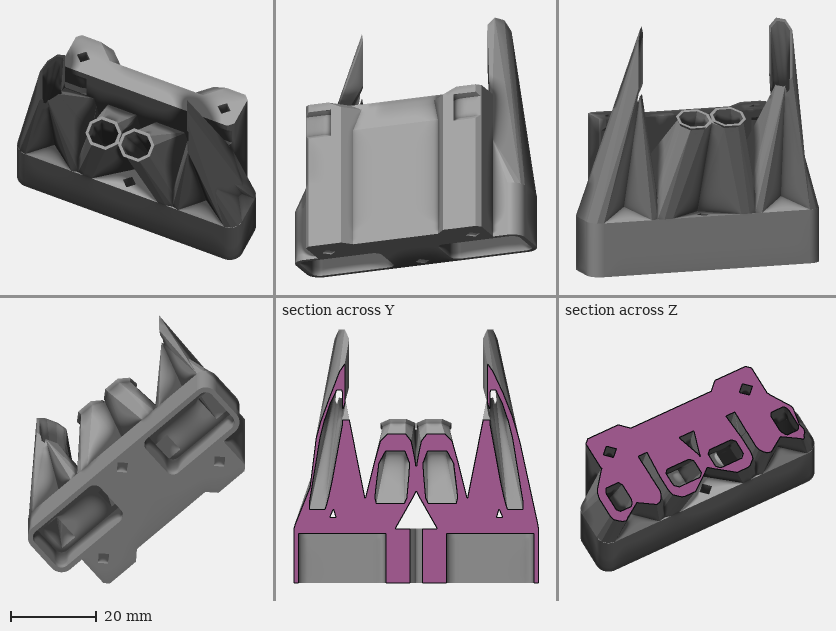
import cadquery as cq
import math


base_width = 57.2
base_front = -12.25
base_back = 1.2
base_height = 12.8
corner_radius = 3.15
base_wall = 1.2
centre_web = 14.2
base_roof = 1.2

plate_width = 43.9
plate_depth = 9.9
plate_height = 34.85
plate_front_chamfer = 1.3
plate_back_chamfer = 1.05

screw_diagonal = 3.3
screw_x = 18.0
plate_screw_y = 4.25
base_screw_y = -9.6

recess_top_y = 5.75
recess_y = 7.7
recess_top_half_width = 11.9
recess_half_width = 8.65
recess_flare = 1.5
recess_lean = 6.8

tie_bottom = 26.55
tie_top = 33.0
tie_groove_depth = 0.9
tie_ring_x = 17.45
tie_ring_radius = 5.4

outer_nozzle_back = (-15.55, -11.55)
outer_nozzle_front = (-19.0, -18.15)
outer_nozzle_bottom = 43.5
outer_nozzle_top = 59.15
outer_nozzle_cut = 2.25

inner_nozzle_left = -8.2
inner_nozzle_right = -0.1
inner_nozzle_back = (-11.8, 38.3)
inner_nozzle_front = (-18.15, 35.15)
inner_nozzle_cut = 2.15

nozzle_wall = 0.7
lip_overhang = 0.5
lip_height = 0.9
mouth_overrun = 0.3

outer_passage_x = (-26.05, -21.9)
outer_passage_y = (-7.7, -1.2)
inner_passage_x = (-10.65, -2.95)
inner_passage_y = (-5.9, -1.2)

duct_overlap_x = -12.05
duct_overlap = 3.15
notch_x = -8.45
notch_y = -5.45
shoulder_z = 24.85
outer_shoulder = (-21.3, -13.0)
inner_shoulder = (-10.05, -2.55)
valley_top = (-11.9, -3.5, 20.35)
inner_duct_joint = (0.0, -15.7, 35.7)
right_tower_foot = (-27.15, -1.7, 13.9)

outer_x = -base_width / 2
outer_duct_end = duct_overlap_x + duct_overlap / 2
inner_duct_end = duct_overlap_x - duct_overlap / 2
facet_angle = 30
tolerance = 5.92e-06


def subtract(a, b):
    return tuple(p - q for p, q in zip(a, b))


def cross(a, b):
    return (a[1] * b[2] - a[2] * b[1], a[2] * b[0] - a[0] * b[2], a[0] * b[1] - a[1] * b[0])


def dot(a, b):
    return sum(p * q for p, q in zip(a, b))


def hull_face(corners, normal):
    """Flat face through the outermost of some coplanar points."""
    centre = tuple(sum(values) / len(corners) for values in zip(*corners))
    axis_u = subtract(corners[0], centre)
    axis_v = cross(normal, axis_u)
    flat = sorted((dot(p, axis_u), dot(p, axis_v), p) for p in corners)

    def chain(entries):
        kept = []
        for entry in entries:
            while len(kept) > 1:
                a, b = kept[-2], kept[-1]
                turn = (b[0] - a[0]) * (entry[1] - a[1]) - (b[1] - a[1]) * (entry[0] - a[0])
                if turn > tolerance:
                    break
                kept.pop()
            kept.append(entry)
        return kept[:-1]

    ring = [entry[2] for entry in chain(flat) + chain(flat[::-1])]
    return cq.Face.makeFromWires(cq.Wire.makePolygon([cq.Vector(*p) for p in ring], close=True))


def hull(points):
    """Solid convex hull: every plane through three points with no point outside it carries a face."""
    points = sorted(set(points))
    count = len(points)
    faces = {}
    for i in range(count):
        for j in range(i + 1, count):
            edge = subtract(points[j], points[i])
            for k in range(j + 1, count):
                normal = cross(edge, subtract(points[k], points[i]))
                length = math.sqrt(dot(normal, normal))
                if length < tolerance:
                    continue
                normal = tuple(value / length for value in normal)
                heights = [dot(subtract(p, points[i]), normal) for p in points]
                if max(heights) > tolerance and min(heights) < -tolerance:
                    continue
                on_plane = tuple(n for n, h in enumerate(heights) if abs(h) <= tolerance)
                faces[on_plane] = normal
    shell = cq.Shell.makeShell([hull_face([points[n] for n in f], faces[f]) for f in faces])
    return cq.Workplane(obj=cq.Solid.makeSolid(shell))


def corner(x, y, side_x, side_y, z=base_height):
    """Faceted quarter round inside the corner (x, y); side_x and side_y point outwards."""
    angles = [math.radians(step * facet_angle) for step in range(90 // facet_angle + 1)]
    centre_x = x - side_x * corner_radius
    centre_y = y - side_y * corner_radius
    return [
        (centre_x + side_x * corner_radius * math.cos(a), centre_y + side_y * corner_radius * math.sin(a), z)
        for a in angles
    ]


def octagon(width, height, cut, inset):
    """Rectangle from (0, 0) with cut corners, moved inwards by inset."""
    cut = cut - inset * (2 - math.sqrt(2))
    low, right, top = inset, width - inset, height - inset
    return [
        (low + cut, low), (right - cut, low), (right, low + cut), (right, top - cut),
        (right - cut, top), (low + cut, top), (low, top - cut), (low, low + cut),
    ]


def outer_nozzle(inset=0.0, push=0.0):
    """Outline of the left outer mouth; push moves it out of the nozzle along its facing direction."""
    run_x = outer_nozzle_front[0] - outer_nozzle_back[0]
    run_y = outer_nozzle_front[1] - outer_nozzle_back[1]
    width = math.hypot(run_x, run_y)
    dir_x, dir_y = run_x / width, run_y / width
    outline = octagon(width, outer_nozzle_top - outer_nozzle_bottom, outer_nozzle_cut, inset)
    return [
        (
            outer_nozzle_back[0] + u * dir_x - push * dir_y,
            outer_nozzle_back[1] + u * dir_y + push * dir_x,
            outer_nozzle_bottom + v,
        )
        for u, v in outline
    ]


def inner_nozzle(inset=0.0, push=0.0):
    """Outline of the left inner mouth; push moves it out of the nozzle along its facing direction."""
    run_y = inner_nozzle_front[0] - inner_nozzle_back[0]
    run_z = inner_nozzle_front[1] - inner_nozzle_back[1]
    length = math.hypot(run_y, run_z)
    dir_y, dir_z = run_y / length, run_z / length
    outline = octagon(inner_nozzle_right - inner_nozzle_left, length, inner_nozzle_cut, inset)
    return [
        (
            inner_nozzle_left + u,
            inner_nozzle_back[0] + v * dir_y + push * dir_z,
            inner_nozzle_back[1] + v * dir_z - push * dir_y,
        )
        for u, v in outline
    ]


outer_front_corner = corner(outer_x, base_front, -1, -1)
outer_back_corner = corner(outer_x, base_back, -1, 1)
inner_front_corner = corner(outer_duct_end, base_front, 1, -1)
inner_back_corner = corner(outer_duct_end, base_back, 1, 1)
shoulder = [(x, base_back, shoulder_z) for x in outer_shoulder]


def make_base():
    return (
        cq.Workplane()
        .box(base_width, base_back - base_front, base_height, centered=(True, False, False))
        .translate((0, base_front, 0))
        .edges("|Z")
        .fillet(corner_radius)
    )


def make_manifold():
    """Low wedge rising from the front edge of the base to the plate."""
    base_corners = outer_front_corner + outer_back_corner + inner_front_corner + inner_back_corner
    return hull(base_corners + shoulder + [valley_top])


def make_tower_leaf(front_corner, back_corner):
    """Diagonal rib from two opposite corners of the tower foot to the lower edge of the mouth."""
    lower_edge = outer_nozzle()[:2]
    return hull(front_corner + back_corner + shoulder + lower_edge)


def make_tower(outer_foot):
    """Main body of an outer tower, reaching from its foot and the plate to the whole mouth."""
    return hull(outer_foot + [shoulder[0]] + outer_nozzle())


def make_inner_duct():
    """Duct from the middle of the base and the plate to a neck, with a flared lip on top."""
    foot = corner(inner_duct_end, base_front, -1, -1) + corner(inner_duct_end, base_back, -1, 1)
    foot += [(notch_x, base_front, base_height), (0.0, notch_y, base_height), (0.0, base_back, base_height)]
    plate_edge = [(x, base_back, shoulder_z) for x in inner_shoulder]
    neck = inner_nozzle(lip_overhang, -lip_height)
    return hull(foot + plate_edge + neck + [inner_duct_joint]).union(hull(neck + inner_nozzle()))


def make_plate():
    return (
        cq.Workplane()
        .box(plate_width, plate_depth, plate_height, centered=(True, False, False))
        .edges("|Z and <Y")
        .chamfer(plate_front_chamfer)
        .edges("|Z and >Y")
        .chamfer(plate_back_chamfer)
    )


def make_recess():
    """Channel with 45 degree flanks that flare at the top; its rear wall leans forward near the top."""
    flank = plate_depth - recess_top_y

    def outline(half_width, z):
        return [
            (-half_width, recess_top_y, z),
            (half_width, recess_top_y, z),
            (half_width + flank, plate_depth, z),
            (-half_width - flank, plate_depth, z),
        ]

    flare_z = plate_height - recess_flare
    channel = hull(outline(recess_half_width, 0.0) + outline(recess_half_width, flare_z))
    flare = hull(outline(recess_half_width, flare_z) + outline(recess_top_half_width, plate_height))
    wall = (
        cq.Workplane("YZ", origin=(-plate_width / 2, 0, 0))
        .polyline([
            (0, 0),
            (recess_y, 0),
            (recess_y, plate_height - recess_lean),
            (recess_top_y, plate_height),
            (0, plate_height),
        ])
        .close()
        .extrude(plate_width)
    )
    return channel.union(flare).cut(wall)


def make_tie_slot():
    """Loop for a cable tie at the right end: half a ring inside the plate and a groove on each face."""
    middle_y = plate_depth / 2
    low, high = tie_bottom + tie_groove_depth, tie_top - tie_groove_depth
    floor_radius = middle_y - tie_groove_depth
    ring = (
        cq.Workplane("XZ")
        .polyline([
            (floor_radius, low),
            (middle_y, tie_bottom),
            (tie_ring_radius, tie_bottom),
            (tie_ring_radius, tie_top),
            (middle_y, tie_top),
            (floor_radius, high),
        ])
        .close()
        .revolve(360, (0, 0, 0), (0, 1, 0))
        .translate((tie_ring_x, middle_y, 0))
    )
    inner_half = cq.Workplane().box(tie_ring_x, plate_depth, plate_height, centered=False)
    slot = ring.intersect(inner_half)
    for face_y, floor_y in ((0, tie_groove_depth), (plate_depth, plate_depth - tie_groove_depth)):
        groove = (
            cq.Workplane("YZ", origin=(tie_ring_x, 0, 0))
            .polyline([(face_y, tie_bottom), (floor_y, low), (floor_y, high), (face_y, tie_top)])
            .close()
            .extrude(plate_width / 2 - tie_ring_x)
        )
        slot = slot.union(groove)
    return slot


def make_screw_hole(x, y, height):
    return cq.Workplane(origin=(x, y, 0)).polygon(4, screw_diagonal).extrude(height)


def make_passages():
    """Air space of the left half: bottom inlet and the two passages to the mouths."""
    inlet_roof = base_height - base_roof
    inlet_end = outer_x + base_wall
    inlet = (
        cq.Workplane()
        .box(-centre_web / 2 - inlet_end, -base_front - base_wall, inlet_roof, centered=False)
        .translate((inlet_end, base_front + base_wall, 0))
        .edges("|Z")
        .fillet(corner_radius - base_wall)
    )
    outer_foot = [(x, y, inlet_roof) for x in outer_passage_x for y in outer_passage_y]
    inner_foot = [(x, y, inlet_roof) for x in inner_passage_x for y in inner_passage_y]
    outer_passage = hull(outer_foot + outer_nozzle(nozzle_wall) + outer_nozzle(nozzle_wall, mouth_overrun))
    inner_passage = hull(inner_foot + inner_nozzle(nozzle_wall) + inner_nozzle(nozzle_wall, mouth_overrun))
    return inlet.union(outer_passage).union(inner_passage)


left_tower = make_tower(outer_front_corner + outer_back_corner)
right_tower = make_tower([outer_front_corner[-1], right_tower_foot])

ducts = (
    make_manifold()
    .union(make_tower_leaf(outer_front_corner, inner_back_corner))
    .union(make_tower_leaf(inner_front_corner, outer_back_corner))
    .union(make_inner_duct())
)
solid = make_base().union(make_plate())
solid = solid.union(ducts.union(left_tower)).union(ducts.union(right_tower).mirror("YZ"))

passages = make_passages()
tie_slot = make_tie_slot()
result = solid.cut(passages).cut(passages.mirror("YZ"))
result = result.cut(tie_slot).cut(tie_slot.mirror("YZ")).cut(make_recess())
for screw_side in (-1, 1):
    result = result.cut(make_screw_hole(screw_side * screw_x, plate_screw_y, plate_height))
result = result.cut(make_screw_hole(0, base_screw_y, base_height))